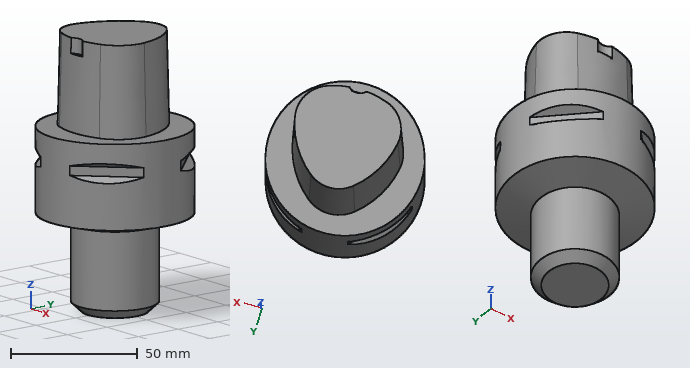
import cadquery as cq
import math

total_height = 113.0
shank_chamfer_height = 4.0
cone_bottom = 36.0
cone_height = 4.0
flange_top = 75.0

flange_radius = 63.0 / 2
shank_radius = 35.0 / 2
shank_end_radius = 13.3

lobe_reach = 23.4
flank_reach = 20.3
lobe_radius = 14.6
taper_inset = 0.95
lobe_axes = (-30, 90, 210)
lobe_spacing = 120
half_spacing = lobe_spacing / 2

pocket_height = 63.0
pocket_floor_distance = 27.9
pocket_floor_height = 3.8
pocket_flank_angle = 30.0
pocket_length = 33.9
pocket_overshoot = 1.1
pocket_angles = (45, 135, 225, 315)

notch_depth = 6.3
notch_inset = 1.7
notch_radius = 4.9


def polar(radius, degrees):
    angle = math.radians(degrees)
    return radius * math.cos(angle), radius * math.sin(angle)


def make_body():
    """Shank, cone and flange turned about Z."""
    return (
        cq.Workplane("XZ")
        .moveTo(0, 0)
        .lineTo(shank_end_radius, 0)
        .lineTo(shank_radius, shank_chamfer_height)
        .lineTo(shank_radius, cone_bottom)
        .lineTo(flange_radius, cone_bottom + cone_height)
        .lineTo(flange_radius, flange_top)
        .lineTo(0, flange_top)
        .close()
        .revolve(360, (0, 0), (0, 1))
    )


def lobed_outline(inset, height):
    """Three small lobe arcs joined by three tangent large flank arcs, offset inward."""
    lobe_center = lobe_reach - lobe_radius
    flank_radius = (
        lobe_center**2 + flank_reach**2 - lobe_center * flank_reach - lobe_radius**2
    ) / (2 * flank_reach - lobe_center - 2 * lobe_radius)
    flank_center = flank_radius - flank_reach

    side = math.sin(math.radians(half_spacing)) * flank_center
    back = math.cos(math.radians(half_spacing)) * flank_center
    half_angle = math.atan2(side, lobe_center + back)
    arc_radius = lobe_radius - inset
    along = lobe_center + arc_radius * math.cos(half_angle)
    across = arc_radius * math.sin(half_angle)
    joint_distance = math.hypot(along, across)
    joint_angle = math.degrees(math.atan2(across, along))

    outline = cq.Workplane("XY", origin=(0, 0, height))
    outline = outline.moveTo(*polar(joint_distance, lobe_axes[0] - joint_angle))
    for axis in lobe_axes:
        outline = outline.threePointArc(
            polar(lobe_reach - inset, axis),
            polar(joint_distance, axis + joint_angle),
        )
        outline = outline.threePointArc(
            polar(flank_reach - inset, axis + half_spacing),
            polar(joint_distance, axis + lobe_spacing - joint_angle),
        )
    return outline.close().wire().val()


def make_taper():
    base = lobed_outline(0, flange_top)
    top = lobed_outline(taper_inset, total_height)
    return cq.Workplane(cq.Solid.makeLoft([base, top], True))


def make_pocket(angle):
    """Straight groove with a flat floor and flaring flanks, facing the given angle."""
    outer_distance = flange_radius + pocket_overshoot
    flare = (outer_distance - pocket_floor_distance) * math.tan(math.radians(pocket_flank_angle))
    half_floor = pocket_floor_height / 2
    half_mouth = half_floor + flare
    return (
        cq.Workplane("XZ", origin=(0, 0, pocket_height))
        .moveTo(pocket_floor_distance, -half_floor)
        .lineTo(outer_distance, -half_mouth)
        .lineTo(outer_distance, half_mouth)
        .lineTo(pocket_floor_distance, half_floor)
        .close()
        .extrude(pocket_length / 2, both=True)
        .rotate((0, 0, 0), (0, 0, 1), angle)
    )


def make_notch():
    """Round-backed notch in the -Y flank, open at the top face."""
    back_y = -(flank_reach - taper_inset - notch_inset)
    return (
        cq.Workplane("XY", origin=(0, back_y - notch_radius, total_height - notch_depth))
        .circle(notch_radius)
        .extrude(notch_depth)
    )


result = make_body().union(make_taper())
for pocket_angle in pocket_angles:
    result = result.cut(make_pocket(pocket_angle))
result = result.cut(make_notch())